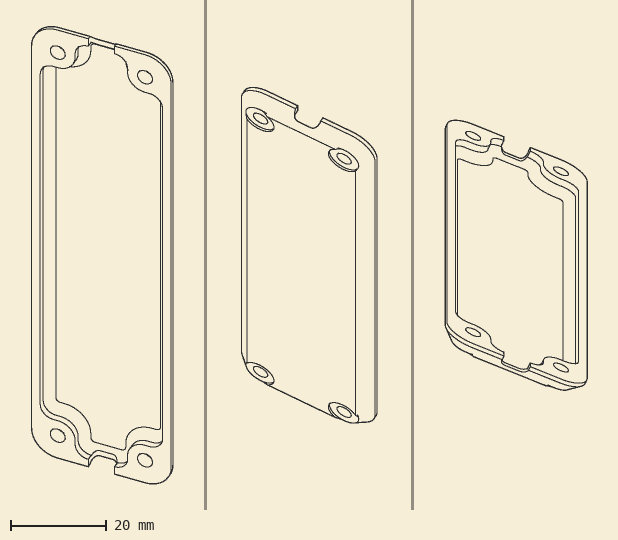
import cadquery as cq

width = 32.0
height = 114.0
thickness = 3.9
corner_radius = 6.0
edge_height = 0.9
back_bevel = thickness - edge_height

hole_diameter = 3.4
hole_x = width / 2 - corner_radius
hole_z = height / 2 - corner_radius
counterbore_diameter = 7.0
counterbore_depth = 0.5

rim_width = 2.0
pocket_depth = 3.5
pocket_bevel = 2.0
boss_radius = 4.0
pocket_fillet = 3.0

notch_width = 6.0
notch_depth = 2.5
notch_fillet = 1.5
notch_reach = rim_width + pocket_bevel


def block(size_x, size_y, size_z):
    """Box centred in X and Z that starts at the open face and runs to +Y."""
    return cq.Workplane("XY").box(size_x, size_y, size_z, centered=(True, False, True))


def make_plate():
    """Round-cornered plate with a 45 degree bevel around its back."""
    plate = block(width, thickness, height).edges("|Y").fillet(corner_radius)
    return plate.faces(">Y").edges().chamfer(back_bevel)


def make_pocket():
    """Pocket volume: a plus shape whose inside corners wrap around the screw bosses."""
    pocket_width = width - 2 * rim_width
    pocket_height = height - 2 * rim_width
    tongue_width = 2 * (hole_x - boss_radius)
    body_height = 2 * (hole_z - boss_radius)

    body = block(pocket_width, pocket_depth, body_height).edges("|Y").fillet(pocket_fillet)
    tongue = block(tongue_width, pocket_depth, pocket_height).edges("|Y").fillet(pocket_fillet)
    inside_corners = cq.selectors.BoxSelector(
        (-hole_x, 0, -hole_z), (hole_x, thickness, hole_z)
    )
    pocket = body.union(tongue).edges("|Y").edges(inside_corners).fillet(boss_radius)
    return pocket.faces(">Y").edges().chamfer(pocket_bevel)


def make_pins(diameter, start_y):
    """Four cylinders on the screw axes, from start_y to the back of the plate."""
    spots = [(sx * hole_x, sz * hole_z) for sx in (-1, 1) for sz in (-1, 1)]
    plane = cq.Workplane("XZ", origin=(0, start_y, 0)).pushPoints(spots)
    return plane.circle(diameter / 2).extrude(start_y - thickness)


def make_notch(end_sign):
    """Notch volume at the upper (+1) or lower (-1) end, with rounded roof corners."""
    notch = block(notch_width, notch_depth, notch_reach)
    notch = notch.faces(">Y").edges("|Z").fillet(notch_fillet)
    return notch.translate((0, 0, end_sign * (height - notch_reach) / 2))


result = make_plate().cut(make_pocket())
result = result.cut(make_pins(hole_diameter, 0))
result = result.cut(make_pins(counterbore_diameter, thickness - counterbore_depth))
for end_sign in (-1, 1):
    result = result.cut(make_notch(end_sign))